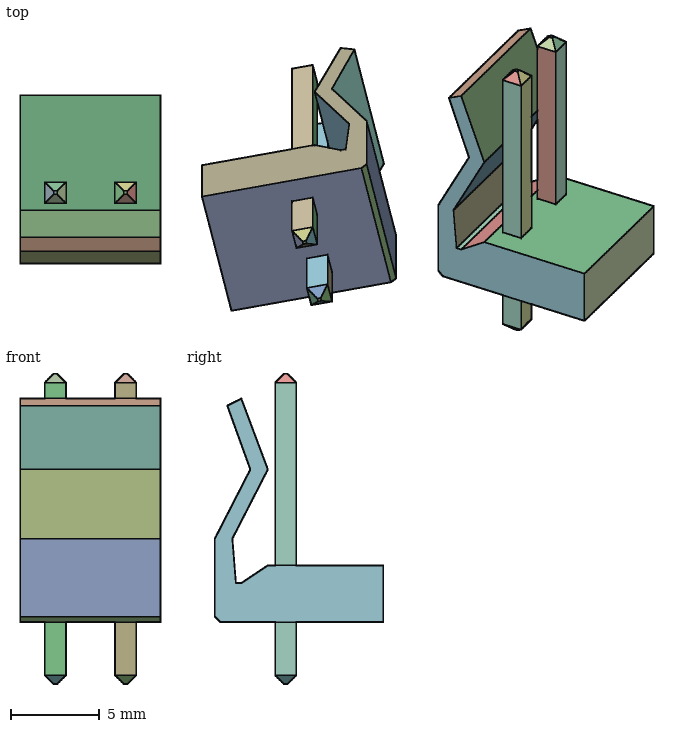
import cadquery as cq

PIN_COUNT = 2
PIN_PITCH = 3.96
PIN_SIZE = 1.2
PIN_LENGTH = 17.5
PIN_BOTTOM = -3.5
PIN_TIP_CHAMFER = 0.5

HOUSING_WIDTH = PIN_COUNT * PIN_PITCH
HOUSING_LEFT = -PIN_PITCH / 2
HOUSING_DEPTH = 9.5
HOUSING_FRONT = -4.0
HOUSING_BACK = HOUSING_FRONT + HOUSING_DEPTH
SLAB_HEIGHT = 3.2
BOTTOM_CHAMFER = 0.3

LATCH_THICKNESS = 1.0
ROOT_TOP = 4.7
KNEE_BACK = -1.0
KNEE_HEIGHT = 8.6
LIP_RUN = 1.5
LIP_RISE = 4.0
LIP_END_DEPTH = 0.8
LIP_END_DROP = 0.4

GROOVE_DEPTH = 1.0
GROOVE_SLOPE_RUN = 1.5
GROOVE_FLOOR_WIDTH = 0.3

pin_positions = [i * PIN_PITCH for i in range(PIN_COUNT)]


def make_pin(x):
    """Square pin centred on (x, 0), tapered at both ends."""
    return (
        cq.Workplane("XY", origin=(x, 0, PIN_BOTTOM))
        .rect(PIN_SIZE, PIN_SIZE)
        .extrude(PIN_LENGTH)
        .faces("<Z or >Z")
        .edges()
        .chamfer(PIN_TIP_CHAMFER)
    )


def make_housing():
    """Slab and latch extruded from one Y-Z profile, with a square hole for each pin."""
    groove_top = KNEE_BACK
    groove_floor = SLAB_HEIGHT - GROOVE_DEPTH
    groove_floor_back = groove_top - GROOVE_SLOPE_RUN
    groove_floor_front = groove_floor_back - GROOVE_FLOOR_WIDTH
    lip_back = KNEE_BACK - LIP_RUN
    lip_top = KNEE_HEIGHT + LIP_RISE

    profile = [
        (HOUSING_BACK, 0),
        (HOUSING_BACK, SLAB_HEIGHT),
        (groove_top, SLAB_HEIGHT),
        (groove_floor_back, groove_floor),
        (groove_floor_front, groove_floor),
        (HOUSING_FRONT + LATCH_THICKNESS, ROOT_TOP),
        (KNEE_BACK, KNEE_HEIGHT),
        (lip_back, lip_top),
        (lip_back - LIP_END_DEPTH, lip_top - LIP_END_DROP),
        (KNEE_BACK - LATCH_THICKNESS, KNEE_HEIGHT),
        (HOUSING_FRONT, ROOT_TOP),
        (HOUSING_FRONT, BOTTOM_CHAMFER),
        (HOUSING_FRONT + BOTTOM_CHAMFER, 0),
    ]
    body = (
        cq.Workplane("YZ", origin=(HOUSING_LEFT, 0, 0))
        .polyline(profile)
        .close()
        .extrude(HOUSING_WIDTH)
    )
    pin_holes = (
        cq.Workplane("XY")
        .pushPoints([(x, 0) for x in pin_positions])
        .rect(PIN_SIZE, PIN_SIZE)
        .extrude(SLAB_HEIGHT)
    )
    return body.cut(pin_holes)


housing = make_housing()
pins = [make_pin(x) for x in pin_positions]

result = cq.Compound.makeCompound([housing.val(), *[pin.val() for pin in pins]])